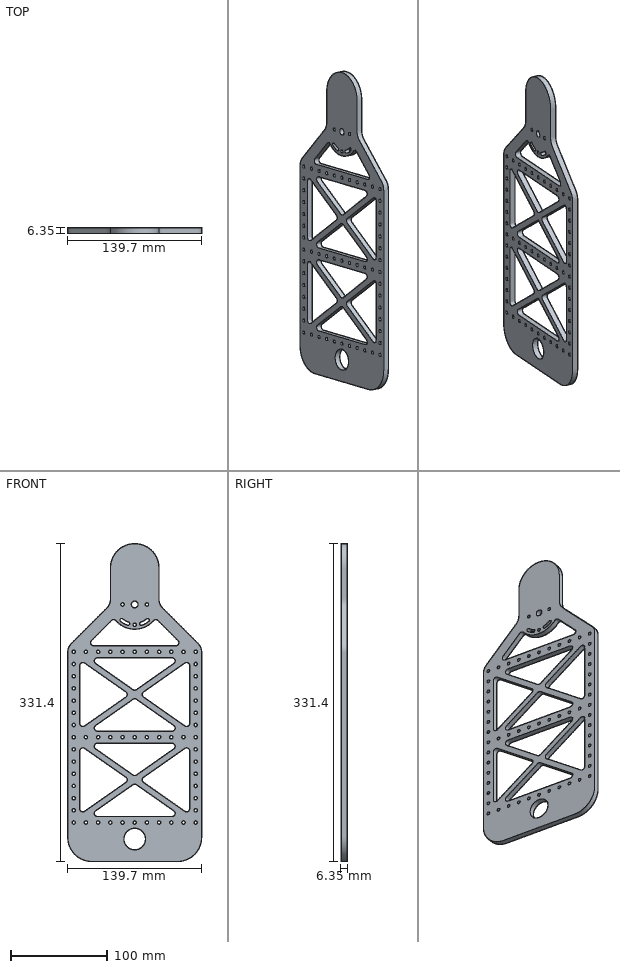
import cadquery as cq
import math

PITCH = 12.7
HALF_PITCH = PITCH / 2
THICKNESS = 6.35
OVERALL_HEIGHT = 331.36

COLUMNS = 11
BAY_PITCHES = 7
BAYS = 2
BODY_HALF_WIDTH = COLUMNS * HALF_PITCH
TAB_RADIUS = 25.4
TAB_CENTER_Z = 38.1
SHOULDER_RADIUS = 12.7
BOTTOM_RADIUS = 25.4
BOTTOM_Z = TAB_CENTER_Z + TAB_RADIUS - OVERALL_HEIGHT
SHOULDER_Z = -(BODY_HALF_WIDTH - TAB_RADIUS)

HOLE_DIAMETER = 3.25
PIVOT_DIAMETER = 6.8
LIGHTENING_DIAMETER = 22.2
TOP_ROW_Z = -49.3
BAY_HEIGHT = BAY_PITCHES * PITCH
BOTTOM_ROW_Z = TOP_ROW_Z - BAYS * BAY_HEIGHT
LIGHTENING_DROP = 17.2
LIGHTENING_Z = BOTTOM_ROW_Z - LIGHTENING_DROP
EDGE_COLUMN_X = BODY_HALF_WIDTH - HALF_PITCH

SLOT_RADIUS = 21.2
SLOT_WIDTH = HOLE_DIAMETER
SLOT_START_ANGLE = 19
SLOT_END_ANGLE = 40

WINDOW_FILLET = 3.175
BRACE_HALF_WIDTH = 3.175
BOSS_RADIUS = 25.9
SHOULDER_RIB_WIDTH = 12.7


def extrude(sketch):
    """Extrude a sketch through the plate thickness, centred on Y."""
    return sketch.extrude(THICKNESS / 2, both=True)


def sketch_plane():
    return cq.Workplane("XZ")


def on_pivot_circle(radius, angle):
    """Point at an angle measured from straight down, positive toward +X."""
    radians = math.radians(angle)
    return radius * math.sin(radians), -radius * math.cos(radians)


def corners_between(low_z, high_z):
    """Selector for everything on the plate between two heights, ends included."""
    margin = 1
    return cq.selectors.BoxSelector(
        (-BODY_HALF_WIDTH - margin, -THICKNESS, low_z - margin),
        (BODY_HALF_WIDTH + margin, THICKNESS, high_z + margin),
    )


def make_plate():
    plate = extrude(
        sketch_plane()
        .moveTo(-BODY_HALF_WIDTH, BOTTOM_Z)
        .lineTo(BODY_HALF_WIDTH, BOTTOM_Z)
        .lineTo(BODY_HALF_WIDTH, SHOULDER_Z)
        .lineTo(TAB_RADIUS, 0)
        .lineTo(TAB_RADIUS, TAB_CENTER_Z)
        .threePointArc((0, TAB_CENTER_Z + TAB_RADIUS), (-TAB_RADIUS, TAB_CENTER_Z))
        .lineTo(-TAB_RADIUS, 0)
        .lineTo(-BODY_HALF_WIDTH, SHOULDER_Z)
        .close()
    )
    bottom_corners = corners_between(BOTTOM_Z, BOTTOM_Z)
    shoulder_corners = corners_between(SHOULDER_Z, 0)
    plate = plate.edges("|Y").edges(bottom_corners).fillet(BOTTOM_RADIUS)
    return plate.edges("|Y").edges(shoulder_corners).fillet(SHOULDER_RADIUS)


def make_holes(points, diameter):
    return extrude(sketch_plane().pushPoints(points).circle(diameter / 2))


def grid_points():
    """Three horizontal rows joined by a column along each long edge."""
    points = []
    for row in range(BAYS * BAY_PITCHES + 1):
        z = TOP_ROW_Z - row * PITCH
        is_full_row = row % BAY_PITCHES == 0
        step = PITCH if is_full_row else 2 * EDGE_COLUMN_X
        count = COLUMNS if is_full_row else 2
        points += [(-EDGE_COLUMN_X + i * step, z) for i in range(count)]
    return points


def make_arc_slot(side):
    """Slot concentric with the pivot; side is +1 or -1."""
    inner = SLOT_RADIUS - SLOT_WIDTH / 2
    outer = SLOT_RADIUS + SLOT_WIDTH / 2
    start = side * SLOT_START_ANGLE
    end = side * SLOT_END_ANGLE
    middle = (start + end) / 2
    band = extrude(
        sketch_plane()
        .moveTo(*on_pivot_circle(inner, start))
        .threePointArc(on_pivot_circle(inner, middle), on_pivot_circle(inner, end))
        .lineTo(*on_pivot_circle(outer, end))
        .threePointArc(on_pivot_circle(outer, middle), on_pivot_circle(outer, start))
        .close()
    )
    end_centers = [on_pivot_circle(SLOT_RADIUS, angle) for angle in (start, end)]
    return band.union(make_holes(end_centers, SLOT_WIDTH))


def make_truss_windows(center_z):
    """Four triangles left between the frame and two crossing diagonal braces."""
    half_width = EDGE_COLUMN_X - HALF_PITCH
    half_height = BAY_HEIGHT / 2 - HALF_PITCH
    diagonal = math.hypot(2 * EDGE_COLUMN_X, BAY_HEIGHT)
    brace_angle = math.degrees(math.atan2(BAY_HEIGHT, 2 * EDGE_COLUMN_X))
    windows = extrude(sketch_plane().rect(2 * half_width, 2 * half_height))
    brace = extrude(sketch_plane().rect(diagonal, 2 * BRACE_HALF_WIDTH))
    for angle in (brace_angle, -brace_angle):
        windows = windows.cut(brace.rotate((0, 0, 0), (0, 1, 0), angle))
    return windows.edges("|Y").fillet(WINDOW_FILLET).translate((0, 0, center_z))


def make_shoulder_window():
    """Triangle parallel to the shoulders, with the pivot lobe cut out of its top."""
    base_z = TOP_ROW_Z + HALF_PITCH
    apex_z = TAB_RADIUS - SHOULDER_RIB_WIDTH * math.sqrt(2)
    half_base = apex_z - base_z
    triangle = extrude(
        sketch_plane().polyline([(-half_base, base_z), (half_base, base_z), (0, apex_z)]).close()
    )
    window = triangle.cut(make_holes([(0, 0)], 2 * BOSS_RADIUS))
    below_pivot = window.solids("<Z")
    return below_pivot.edges("|Y").fillet(WINDOW_FILLET)


small_holes = grid_points() + [(-PITCH, 0), (PITCH, 0), (0, -SLOT_RADIUS)]

plate = make_plate()
plate = plate.cut(make_holes(small_holes, HOLE_DIAMETER))
plate = plate.cut(make_holes([(0, 0)], PIVOT_DIAMETER))
plate = plate.cut(make_holes([(0, LIGHTENING_Z)], LIGHTENING_DIAMETER))
for side in (-1, 1):
    plate = plate.cut(make_arc_slot(side))
for bay in range(BAYS):
    plate = plate.cut(make_truss_windows(TOP_ROW_Z - (bay + 0.5) * BAY_HEIGHT))
plate = plate.cut(make_shoulder_window())

result = cq.Workplane("XZ").newObject([plate.solids().val()])